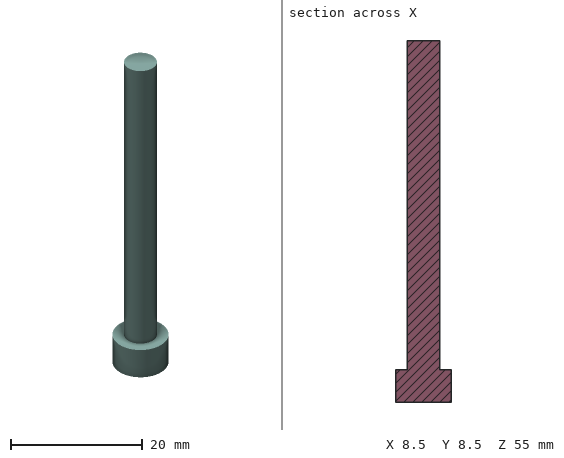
import cadquery as cq

total_length = 55.0
head_diameter = 8.5
head_height = 5.0
shank_diameter = 5.0
shank_length = total_length - head_height

head = cq.Workplane("XY").circle(head_diameter / 2).extrude(head_height)

result = head.faces(">Z").workplane().circle(shank_diameter / 2).extrude(shank_length)